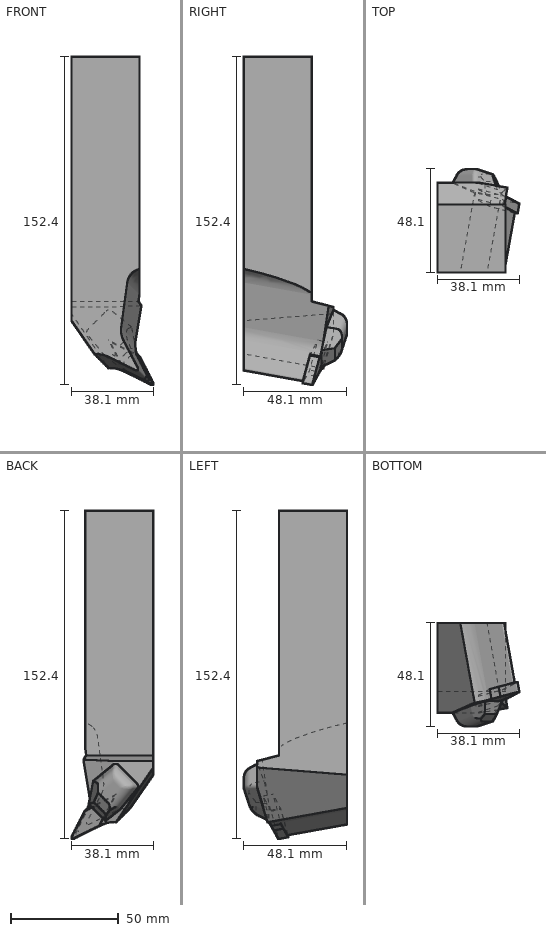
import cadquery as cq
import math

shank_width = 31.7
total_length = 152.4

lean = 0.18
lean_axis = cq.Vector(lean, 1, -lean)
rake_height = 38.7

head_back = 41.8
ledge_top = 38.9
ledge_fall = 2.6
head_side_limit = 45.7

heel_top = 29.9
heel_bottom = (10.7, 14.5)
heel_corner = (14.5, 14.5)
holder_tip = (32.0, 5.8)
gullet_bottom = (22.7, 23.6)
gullet_top = (26.8, 54.1)
heel_corner_radius = 13.7
holder_tip_radius = 0.8
gullet_bottom_radius = 9.9
gullet_top_radius = 7.6

insert_angle = 35.0
insert_edge = 16.0
insert_thickness = 4.7
insert_nose_radius = 0.7
insert_tip_x = 39.0
insert_tip_z = -0.9

clamp_center = 21.0
clamp_base_y = 33.5
clamp_depth = 18.3
clamp_draft = 21.0
clamp_half_width = 11.0
clamp_heel = 16.0
clamp_shoulder = 1.4
clamp_nose = 10.8
clamp_nose_upper = 3.5
clamp_nose_lower = 8.8
clamp_rise = 7.8
clamp_top_radius = 4.9
clamp_corner_diameter = 3.8
nose_bevel_slope = 0.54
nose_bevel_height = 48.0

margin = 61.0
touch_tolerance = 0.02


def behind_plane(height, slope):
    """Large block on the +Y side of the plane y = height - slope * (x - z)."""
    plane = cq.Plane(origin=(0, height, 0), xDir=(1, -2 * slope, -1), normal=(slope, 1, -slope))
    return cq.Workplane(plane).rect(6 * margin, 6 * margin).extrude(margin)


def rounded_face(points, rounds):
    """Face on Y = 0 through (X, Z) points, with some corners rounded."""
    corners = [cq.Vector(x, 0, z) for x, z in points]
    face = cq.Face.makeFromWires(cq.Wire.makePolygon(corners, close=True))
    for (x, z), radius in rounds:
        corner = cq.Vertex.makeVertex(x, 0, z)
        nearest = min(face.Vertices(), key=corner.distance)
        face = face.fillet2D(radius, [nearest])
    return face


def make_leaning_outline():
    """Holder outline swept along the lean axis: heel, tip and gullet."""
    heel_slope = (heel_top - heel_bottom[1]) / heel_bottom[0]
    above = total_length + margin
    points = [
        (-margin, above),
        (-margin, heel_top + margin * heel_slope),
        heel_bottom,
        heel_corner,
        holder_tip,
        gullet_bottom,
        gullet_top,
        (margin, gullet_top[1]),
        (margin, above),
    ]
    rounds = [
        (heel_corner, heel_corner_radius),
        (holder_tip, holder_tip_radius),
        (gullet_bottom, gullet_bottom_radius),
        (gullet_top, gullet_top_radius),
    ]
    face = rounded_face(points, rounds)
    return cq.Workplane(cq.Solid.extrudeLinear(face, lean_axis * margin))


def make_head_block():
    """Block below the sloping ledge, cut off at the back by the rake plane."""
    side_profile = [
        (0, -margin),
        (head_back, -margin),
        (head_back, ledge_top - ledge_fall),
        (shank_width, ledge_top),
        (0, ledge_top),
    ]
    block = cq.Workplane("YZ").polyline(side_profile).close().extrude(head_side_limit)
    return block.cut(behind_plane(rake_height, lean))


def make_clamp_blank():
    """Tapered clamp with a sloping top, before rounding."""
    footprint = [
        (-clamp_heel, -clamp_half_width),
        (clamp_shoulder, -clamp_half_width),
        (clamp_nose, -clamp_nose_upper),
        (clamp_nose, clamp_nose_lower),
        (clamp_shoulder, clamp_half_width),
        (-clamp_heel, clamp_half_width),
    ]
    base = cq.Plane(
        origin=(clamp_center, clamp_base_y, clamp_center), xDir=(1, 0, -1), normal=(0, 1, 0)
    )
    blank = cq.Workplane(base).polyline(footprint).close().extrude(clamp_depth, taper=clamp_draft)
    return blank.cut(behind_plane(rake_height + clamp_rise, lean))


def on_heel_side(edge):
    """Whether the middle of a clamp edge is nearer the heel than the nose."""
    center = edge.Center()
    return center.x - center.z < 0


def round_clamp(clamp):
    """Round the heel and long sides of the top, then the two corners of the heel."""
    top = clamp.faces(cq.selectors.ParallelDirSelector(lean_axis))
    top_edges = [edge for edge in top.edges().vals() if on_heel_side(edge)]
    clamp = clamp.newObject(top_edges).fillet(clamp_top_radius)

    diagonal = math.sqrt(0.5)
    corner_edges = []
    for side in (-1, 1):
        x = clamp_center - diagonal * (clamp_heel + side * clamp_half_width)
        z = clamp_center + diagonal * (clamp_heel - side * clamp_half_width)
        corner = cq.Vertex.makeVertex(x, clamp_base_y, z)
        touching = [edge for edge in clamp.edges().vals() if edge.distance(corner) < touch_tolerance]
        corner_edges.append(max(touching, key=lambda edge: edge.Center().y))
    return clamp.newObject(corner_edges).fillet(clamp_corner_diameter / 2)


def make_clamp():
    """Rounded clamp with a bevelled nose, seated on the back of the head."""
    clamp = round_clamp(make_clamp_blank())
    clamp = clamp.cut(behind_plane(nose_bevel_height, nose_bevel_slope))
    below_seat = (
        cq.Workplane("XZ", origin=(0, head_back, 0))
        .rect(4 * margin, 4 * margin)
        .extrude(margin)
        .cut(behind_plane(rake_height, lean))
    )
    return clamp.cut(below_seat)


def make_insert_blank():
    """Sharp-cornered rhombus below the rake plane, the shape of the insert pocket."""
    tip_y = rake_height - lean * (insert_tip_x - insert_tip_z)
    rake_plane = cq.Plane(
        origin=(insert_tip_x, tip_y, insert_tip_z), xDir=(-1, 2 * lean, 1), normal=lean_axis
    )
    half_angle = math.radians(insert_angle / 2)
    run = insert_edge * math.cos(half_angle)
    rise = insert_edge * math.sin(half_angle)
    rhombus = [(0, 0), (run, rise), (2 * run, 0), (run, -rise)]
    return cq.Workplane(rake_plane).polyline(rhombus).close().extrude(-insert_thickness)


def make_insert():
    nose_edge = cq.selectors.DirectionMinMaxSelector(cq.Vector(1, 0, -1))
    return make_insert_blank().edges(nose_edge).fillet(insert_nose_radius)


def make_holder():
    """Shank, head and clamp in one solid, with the insert pocket."""
    shank = cq.Workplane("XY").rect(shank_width, shank_width, centered=False).extrude(total_length)
    body = shank.union(make_head_block()).intersect(make_leaning_outline())
    return body.union(make_clamp()).cut(make_insert_blank())


holder = make_holder()
insert = make_insert()

result = cq.Compound.makeCompound([holder.solids().val(), insert.val()])